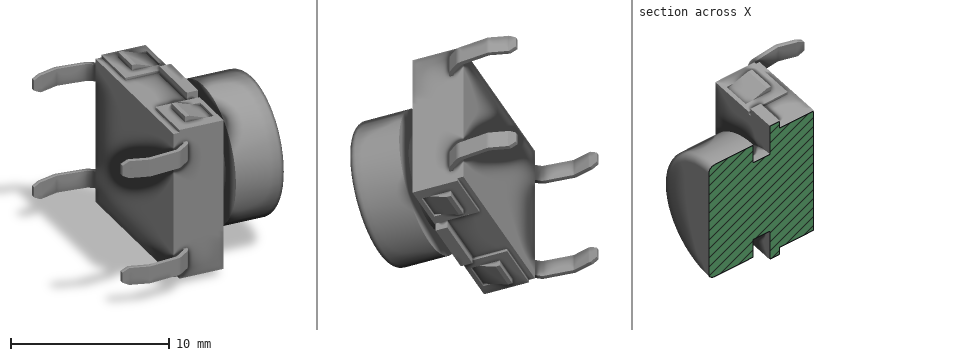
import cadquery as cq
import math


body_width = 11.4
body_depth = 3.5
core_height = 10.2

stem_diameter = 6.6
stem_length = 1.3
cap_diameter = 9.6
cap_length = 3.54
cap_fillet = 0.5

overall_height = 11.4
side_projection = (overall_height - core_height) / 2
plate_thickness = 0.2
plate_width = 3.5
plate_setback = 0.4
rib_width = 4.0
rib_depth = 0.8
latch_size = 2.0
latch_inset = 0.8
latch_top_gap = 0.3
latch_lip = 0.3

lead_thickness = 0.3
lead_width = 1.2
lead_pitch = 7.62
lead_exit = 0.8
lead_embed = 0.28
lead_drop = 4.0
upper_bend_radius = 0.49
lower_bend_radius = 0.35
tip_taper_length = 0.45
tip_taper_width = 0.24
lead_bends = [
    (53, upper_bend_radius, 0.77),
    (84, upper_bend_radius, 1.93),
    (106, lower_bend_radius, 1.16),
    (96, lower_bend_radius, 0.7),
]


def box(x_min, x_max, y_min, y_max, z_min, z_max):
    size = (x_max - x_min, y_max - y_min, z_max - z_min)
    return cq.Workplane("XY").box(*size, centered=False).translate((x_min, y_min, z_min))


def make_core():
    return box(-body_width / 2, body_width / 2, 0, body_depth, -core_height / 2, core_height / 2)


def make_button():
    stem = (
        cq.Workplane("XZ", origin=(0, body_depth, 0))
        .circle(stem_diameter / 2)
        .extrude(-stem_length)
    )
    cap = (
        cq.Workplane("XZ", origin=(0, body_depth + stem_length, 0))
        .circle(cap_diameter / 2)
        .extrude(-cap_length)
        .faces(">Y")
        .edges()
        .fillet(cap_fillet)
    )
    return stem.union(cap)


def make_rib():
    """Middle rib on the +Z side, flush with the top of the housing."""
    z_base = core_height / 2
    return box(
        -rib_width / 2, rib_width / 2, body_depth - rib_depth, body_depth, z_base, z_base + side_projection
    )


def make_latch_plate():
    """Plate at the +X end of the +Z side, with a ramped latch filling its square window."""
    z_base = core_height / 2
    x_outer = body_width / 2
    plate = box(x_outer - plate_width, x_outer, plate_setback, body_depth, z_base, z_base + plate_thickness)

    latch_right = x_outer - latch_inset
    latch_left = latch_right - latch_size
    latch_top = body_depth - latch_top_gap
    latch_bottom = latch_top - latch_size
    window = box(latch_left, latch_right, latch_bottom, latch_top, z_base, z_base + plate_thickness)
    ramp = (
        cq.Workplane("YZ", origin=(latch_left, 0, 0))
        .moveTo(latch_top, z_base)
        .lineTo(latch_bottom + latch_lip, z_base + side_projection)
        .lineTo(latch_bottom, z_base + side_projection)
        .lineTo(latch_bottom, z_base)
        .close()
        .extrude(latch_size)
    )
    return plate.cut(window).union(ramp)


def make_lead_path(workplane):
    """Middle line of the strip: straights joined by tangent arcs."""
    x = body_width / 2
    y = lead_exit
    heading = 0.0
    path = workplane.moveTo(x - lead_embed, y).lineTo(x, y)
    for heading_degrees, radius, straight_length in lead_bends:
        new_heading = math.radians(heading_degrees)
        signed_radius = math.copysign(radius, new_heading - heading)
        centre_x = x - signed_radius * math.sin(heading)
        centre_y = y - signed_radius * math.cos(heading)

        def point_on_bend(angle):
            return (centre_x + signed_radius * math.sin(angle), centre_y + signed_radius * math.cos(angle))

        x, y = point_on_bend(new_heading)
        path = path.threePointArc(point_on_bend((heading + new_heading) / 2), (x, y))
        x += straight_length * math.cos(new_heading)
        y -= straight_length * math.sin(new_heading)
        path = path.lineTo(x, y)
        heading = new_heading
    return path


def make_lead():
    """Lead at the +X, +Z corner."""
    z_middle = lead_pitch / 2
    path = make_lead_path(cq.Workplane("XY", origin=(0, 0, z_middle)))
    strip = (
        cq.Workplane("YZ", origin=(body_width / 2 - lead_embed, lead_exit, z_middle))
        .rect(lead_thickness, lead_width)
        .sweep(path)
    )
    half_width = lead_width / 2
    half_tip = half_width - tip_taper_width
    shoulder_y = tip_taper_length - lead_drop
    outline = (
        cq.Workplane("YZ", origin=(0, 0, z_middle))
        .polyline([
            (body_depth, -half_width),
            (shoulder_y, -half_width),
            (-lead_drop, -half_tip),
            (-lead_drop, half_tip),
            (shoulder_y, half_width),
            (body_depth, half_width),
        ])
        .close()
        .extrude(body_width)
    )
    return strip.intersect(outline)


def mirrored_in_z(shape):
    return shape.union(shape.mirror("XY"))


def mirrored_in_x(shape):
    return shape.union(shape.mirror("YZ"))


corner_parts = make_latch_plate().union(make_lead())
side_parts = mirrored_in_x(corner_parts).union(make_rib())
result = make_core().union(make_button()).union(mirrored_in_z(side_parts))